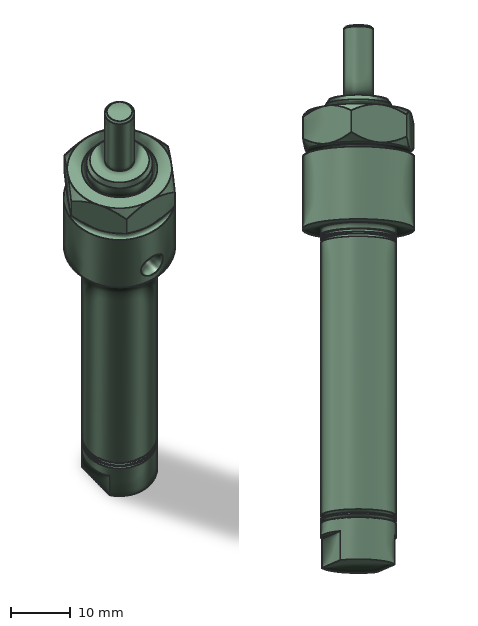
import cadquery as cq
import math

TOTAL_HEIGHT = 91.95

TUBE_RADIUS = 6.3
HEAD_RADIUS = 9.4
HEAD_BOTTOM = 57.5
HEAD_TOP = 69.8
NECK_RADIUS = 5.5
NECK_TOP = 79.4
NECK_CHAMFER_WIDTH = 0.55
NECK_CHAMFER_HEIGHT = 0.8

TOOTH_HEIGHT = 0.55
LAND_HEIGHT = 0.3
TOOTH_DEPTH = 0.55
TOOTH_PITCH = TOOTH_HEIGHT + LAND_HEIGHT
TEETH_PER_BAND = 2
LOWER_BAND_BOTTOM = 7.2
UPPER_BAND_BOTTOM = 55.1

FLAT_HEIGHT = 5.0
FLAT_SPACING = 9.9

PORT_DIAMETER = 4.6
PORT_DEPTH = 3.7
PORT_HEIGHT = 61.1

ROD_RADIUS = 2.5
ROD_CHAMFER = 0.4

NUT_ACROSS_CORNERS = 20.2
NUT_ACROSS_FLATS = NUT_ACROSS_CORNERS * math.cos(math.pi / 6)
NUT_BOTTOM = 70.8
NUT_TOP = 77.2
NUT_CHAMFER_ANGLE = 45.0
NUT_COUNTERSINK = 0.8


def ring_groove(points):
    """Revolve a closed (radius, height) profile about the Z axis."""
    return cq.Workplane("XZ").polyline(points).close().revolve(360, (0, 0, 0), (0, 1, 0))


def tooth_groove(bottom, narrow_end_up):
    """One groove with a flat shelf at its narrow end and a cone running out to the tube."""
    top = bottom + TOOTH_HEIGHT
    narrow = top if narrow_end_up else bottom
    root_radius = TUBE_RADIUS - TOOTH_DEPTH
    return ring_groove([(TUBE_RADIUS, bottom), (TUBE_RADIUS, top), (root_radius, narrow)])


def make_barrel():
    tube = cq.Workplane("XY").circle(TUBE_RADIUS).extrude(HEAD_BOTTOM)
    head = cq.Workplane("XY", origin=(0, 0, HEAD_BOTTOM)).circle(HEAD_RADIUS).extrude(HEAD_TOP - HEAD_BOTTOM)
    neck = cq.Workplane("XY", origin=(0, 0, HEAD_TOP)).circle(NECK_RADIUS).extrude(NECK_TOP - HEAD_TOP)
    neck = neck.faces(">Z").edges().chamfer(NECK_CHAMFER_HEIGHT, NECK_CHAMFER_WIDTH)
    barrel = tube.union(head).union(neck)

    for band_bottom, narrow_end_up in ((LOWER_BAND_BOTTOM, False), (UPPER_BAND_BOTTOM, True)):
        for tooth in range(TEETH_PER_BAND):
            barrel = barrel.cut(tooth_groove(band_bottom + tooth * TOOTH_PITCH, narrow_end_up))

    for side in (-1, 1):
        flat_cutter = cq.Workplane("XY").box(
            2 * TUBE_RADIUS, TUBE_RADIUS, FLAT_HEIGHT, centered=(True, True, False)
        )
        barrel = barrel.cut(flat_cutter.translate((0, side * (FLAT_SPACING + TUBE_RADIUS) / 2, 0)))

    port = (
        cq.Workplane("YZ", origin=(HEAD_RADIUS - PORT_DEPTH, 0, PORT_HEIGHT))
        .circle(PORT_DIAMETER / 2)
        .extrude(PORT_DEPTH)
    )
    return barrel.cut(port)


def make_rod():
    """Rod standing on the end face of the neck."""
    rod = cq.Workplane("XY", origin=(0, 0, NECK_TOP)).circle(ROD_RADIUS).extrude(TOTAL_HEIGHT - NECK_TOP)
    return rod.faces(">Z").edges().chamfer(ROD_CHAMFER)


def make_nut():
    """Hexagon with corners on the Y axis, both ends turned to a cone and the bore countersunk."""
    nut_height = NUT_TOP - NUT_BOTTOM
    corner_radius = NUT_ACROSS_CORNERS / 2
    face_radius = NUT_ACROSS_FLATS / 2
    chamfer_width = corner_radius - face_radius
    chamfer_height = chamfer_width * math.tan(math.radians(NUT_CHAMFER_ANGLE))
    hexagon = (
        cq.Workplane("XY")
        .polygon(6, NUT_ACROSS_CORNERS)
        .extrude(nut_height)
        .rotate((0, 0, 0), (0, 0, 1), 90)
    )
    turned_blank = (
        cq.Workplane("XY")
        .circle(corner_radius)
        .extrude(nut_height)
        .edges()
        .chamfer(chamfer_height, chamfer_width)
    )
    bore = cq.Workplane("XY").circle(NECK_RADIUS).extrude(nut_height)
    nut = hexagon.intersect(turned_blank).cut(bore)
    nut = nut.edges(cq.selectors.RadiusNthSelector(0)).chamfer(NUT_COUNTERSINK)
    return nut.translate((0, 0, NUT_BOTTOM))


barrel = make_barrel()
rod = make_rod()
nut = make_nut()

result = cq.Compound.makeCompound([barrel.val(), rod.val(), nut.val()])